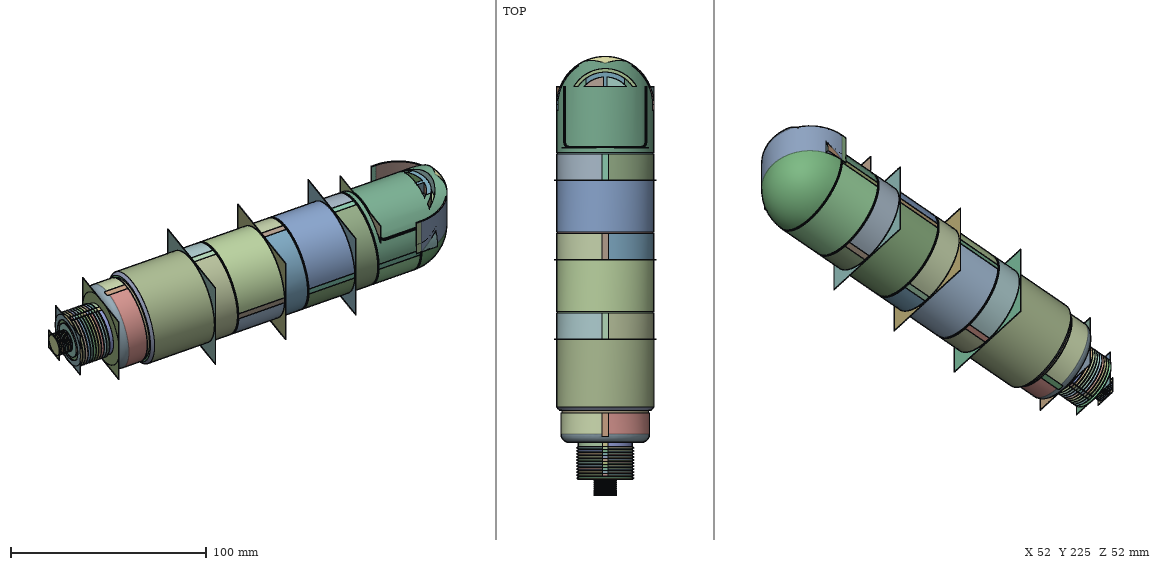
import cadquery as cq
import math

LENGTH = 225.0
BODY_R = 25.0
SHEET = 0.2

CONNECTOR_R = 5.8
CONNECTOR_PITCH = 1.0
CONNECTOR_THREAD_DEPTH = 0.5
NECK_R = 14.0
NECK_CREST_R = 14.6
NECK_ROOT_R = 13.7
NECK_PITCH = 1.5
NECK_END_Y = 8.0
NECK_THREAD_Y = 25.2
THREAD_DEPTH = NECK_CREST_R - NECK_ROOT_R
NECK_SLOT_WIDTH = 2.7
NECK_SLOT_Y = 10.0
END_RECESS_R = (9.2, 11.0)
END_RECESS_DEPTH = 0.7
CAP_R = 22.7
CAP_END_Y = 27.2
CAP_FILLET = 4.3
CAP_GROOVE_Y = 42.3
CONNECTOR_PLATE = 2 * CONNECTOR_R
NECK_PLATE = 26.5
CAP_PLATE = 39.1

TOWER_Y = 43.6
TOWER_BEVEL = 1.5
TOWER_PLATE = 52.0
SEGMENT_PITCH = 40.7
BAND_WIDTH = 14.0
FIRST_PLATE_Y = 79.9
SEGMENT_COUNT = 3
GROOVE_WIDTH = 0.7
GROOVE_DEPTH = 0.5
SEAM_WIDTH = 3.4
SEAM_DEPTH = 0.2
DOME_Y = LENGTH - BODY_R
DOME_TOP_FILLET = 3.5

PANEL_START_Y = 178.2
PANEL_END_Y = 209.5
PANEL_EDGE_Z = 13.0
PANEL_CORNER_R = 3.1
PANEL_PLATE_HALF = 22.0
PANEL_PLATE_TOP = 24.5
RECESS_R = 18.7
RECESS_FLOOR_Z = 15.7
INNER_RING_R = (14.5, 16.9)
INNER_RING_TOP = 23.0
RIB_WIDTH = 1.8
WALL_THICKNESS = 0.7
WALL_TOP = 21.0
WALL_START_Y = 197.3


def cylinder(radius, start_y, end_y):
    """Solid cylinder along the Y axis."""
    return cq.Workplane("XZ", origin=(0, start_y, 0)).circle(radius).extrude(start_y - end_y)


def tube(inner, outer, start_y, end_y):
    """Hollow cylinder along the Y axis."""
    return cylinder(outer, start_y, end_y).cut(cylinder(inner, start_y, end_y))


def upright_cylinder(radius, bottom, top):
    """Solid cylinder parallel to Z through the centre of the dome."""
    return cq.Workplane("XY", origin=(0, DOME_Y, bottom)).circle(radius).extrude(top - bottom)


def block(x_range, y_range, z_range):
    """Box spanning the given ranges."""
    sizes = [end - start for start, end in (x_range, y_range, z_range)]
    corner = (x_range[0], y_range[0], z_range[0])
    return cq.Workplane("XY").box(*sizes, centered=False).translate(corner)


def square_plate(side, start_y):
    """Thin square plate across the axis."""
    half = side / 2
    return block((-half, half), (start_y, start_y + SHEET), (-half, half))


def threaded_rod(crest, depth, pitch, start_y, end_y):
    """Rod along Y whose thread is a row of V-shaped rings."""
    count = math.floor((end_y - start_y) / pitch)
    step = (end_y - start_y) / count
    outline = cq.Workplane("XY").moveTo(0, start_y).lineTo(crest - depth, start_y)
    for ring in range(count):
        ring_y = start_y + ring * step
        outline = outline.lineTo(crest, ring_y + step / 2)
        outline = outline.lineTo(crest - depth, ring_y + step)
    return outline.lineTo(0, end_y).close().revolve(360, (0, 0, 0), (0, 1, 0))


def opposite_slots(radius, depth, width, start_y, end_y, on_sides):
    """Cutter for two lengthwise slots, at top and bottom or on the two sides."""
    top = block((-width / 2, width / 2), (start_y, end_y), (radius - depth, radius + depth))
    slots = top.union(top.rotate((0, 0, 0), (0, 1, 0), 180))
    return slots.rotate((0, 0, 0), (0, 1, 0), 90) if on_sides else slots


def make_cap():
    """Rounded end cap with a shallow groove at its joint with the tower."""
    cap = cylinder(CAP_R, CAP_END_Y, TOWER_Y).faces("<Y").edges().fillet(CAP_FILLET)
    cap = cap.cut(tube(CAP_R - GROOVE_DEPTH, BODY_R, CAP_GROOVE_Y, TOWER_Y))
    seams = opposite_slots(CAP_R, SEAM_DEPTH, SEAM_WIDTH, CAP_END_Y, CAP_GROOVE_Y, False)
    return cap.cut(seams)


def make_neck():
    """Threaded neck with two lengthwise slots and a ring recess in its end."""
    neck = threaded_rod(NECK_CREST_R, THREAD_DEPTH, NECK_PITCH, NECK_END_Y, NECK_THREAD_Y)
    neck = neck.union(cylinder(NECK_R, NECK_THREAD_Y, CAP_END_Y))
    neck = neck.cut(
        opposite_slots(NECK_CREST_R, THREAD_DEPTH, NECK_SLOT_WIDTH, NECK_SLOT_Y, CAP_END_Y, False)
    )
    neck = neck.union(square_plate(NECK_PLATE, NECK_END_Y))
    inner, outer = END_RECESS_R
    return neck.cut(tube(inner, outer, NECK_END_Y, NECK_END_Y + END_RECESS_DEPTH))


def make_base():
    """Cap, threaded neck and threaded connector in one piece."""
    connector = threaded_rod(CONNECTOR_R, CONNECTOR_THREAD_DEPTH, CONNECTOR_PITCH, 0, NECK_END_Y)
    base = make_cap().union(make_neck()).union(connector)
    base = base.union(square_plate(CONNECTOR_PLATE, 0))
    return base.union(square_plate(CAP_PLATE, CAP_END_Y))


def make_dome():
    """Round end: sphere below, top-rounded upright cylinder cut to the body radius above."""
    lower = cq.Workplane("XY", origin=(0, DOME_Y, 0)).sphere(BODY_R)
    upper = upright_cylinder(BODY_R, 0, BODY_R).faces(">Z").edges().fillet(DOME_TOP_FILLET)
    return lower.union(upper.intersect(cylinder(BODY_R, DOME_Y, LENGTH)))


def sounder_recess():
    """Cutter for the opening past the panel, leaving an inner ring and a central rib."""
    inner, outer = INNER_RING_R
    recess = upright_cylinder(RECESS_R, RECESS_FLOOR_Z, BODY_R)
    ring = upright_cylinder(outer, RECESS_FLOOR_Z, INNER_RING_TOP)
    ring = ring.cut(upright_cylinder(inner, RECESS_FLOOR_Z, INNER_RING_TOP))
    rib = block(
        (-RIB_WIDTH / 2, RIB_WIDTH / 2),
        (DOME_Y, DOME_Y + outer),
        (RECESS_FLOOR_Z, INNER_RING_TOP),
    )
    beyond_panel = block((-BODY_R, BODY_R), (PANEL_END_Y, LENGTH), (RECESS_FLOOR_Z, BODY_R))
    return recess.cut(ring).cut(rib).intersect(beyond_panel)


def sounder_wall():
    """Thin upright wall around the end of the dome."""
    height = (0, WALL_TOP)
    wall = upright_cylinder(BODY_R, *height)
    wall = wall.union(block((-BODY_R, BODY_R), (WALL_START_Y, DOME_Y), height))
    inner_r = BODY_R - WALL_THICKNESS
    wall = wall.cut(upright_cylinder(inner_r, *height))
    wall = wall.cut(block((-inner_r, inner_r), (WALL_START_Y, DOME_Y), height))
    return wall.intersect(block((-BODY_R, BODY_R), (WALL_START_Y, LENGTH), height))


def panel_outline(inset):
    """Region of the round-cornered panel seen along X, shrunk by an inset."""
    start_y = PANEL_START_Y + inset
    bottom = PANEL_EDGE_Z + inset
    region = block((-BODY_R, BODY_R), (start_y, PANEL_END_Y), (bottom, 2 * BODY_R))
    return region.edges("|X and <Y and <Z").fillet(PANEL_CORNER_R - inset)


def panel_groove():
    """Cutter for the shallow groove around the panel."""
    border = panel_outline(0).cut(panel_outline(GROOVE_WIDTH))
    skin = tube(BODY_R - GROOVE_DEPTH, 2 * BODY_R, PANEL_START_Y, PANEL_END_Y)
    return border.intersect(skin)


def ring_groove(centre_y):
    """Cutter for a shallow groove around the tower."""
    half = GROOVE_WIDTH / 2
    return tube(BODY_R - GROOVE_DEPTH, BODY_R + GROOVE_DEPTH, centre_y - half, centre_y + half)


def add_segments(tower):
    """Bands, seams and square plates along the tower."""
    for index in range(SEGMENT_COUNT):
        plate_y = FIRST_PLATE_Y + index * SEGMENT_PITCH
        band_end = plate_y + BAND_WIDTH
        is_last = index == SEGMENT_COUNT - 1
        segment_end = DOME_Y if is_last else plate_y + SEGMENT_PITCH
        tower = tower.cut(ring_groove(band_end))
        tower = tower.cut(opposite_slots(BODY_R, SEAM_DEPTH, SEAM_WIDTH, plate_y, band_end, False))
        tower = tower.cut(opposite_slots(BODY_R, SEAM_DEPTH, SEAM_WIDTH, band_end, segment_end, True))
        tower = tower.union(square_plate(TOWER_PLATE, plate_y))
    return tower


def make_tower():
    """Light segments and sounder dome in one piece."""
    tower = cylinder(BODY_R, TOWER_Y, DOME_Y).faces("<Y").edges().chamfer(TOWER_BEVEL)
    tower = tower.union(make_dome())
    panel_body = cylinder(BODY_R, DOME_Y, PANEL_END_Y)
    above_edge = block((-BODY_R, BODY_R), (DOME_Y, PANEL_END_Y), (0, BODY_R))
    tower = tower.union(panel_body.intersect(above_edge))
    tower = tower.cut(sounder_recess())
    tower = tower.cut(panel_groove())
    lower_half = block((-BODY_R, BODY_R), (TOWER_Y, LENGTH), (-BODY_R, 0))
    tower = tower.cut(ring_groove(DOME_Y).intersect(lower_half))
    tower = add_segments(tower)
    tower = tower.union(sounder_wall())
    panel_plate = block(
        (-PANEL_PLATE_HALF, PANEL_PLATE_HALF),
        (PANEL_START_Y - SHEET, PANEL_START_Y),
        (PANEL_EDGE_Z, PANEL_PLATE_TOP),
    )
    return tower.union(panel_plate)


base = make_base()
tower = make_tower()
result = cq.Compound.makeCompound([base.val(), tower.val()])